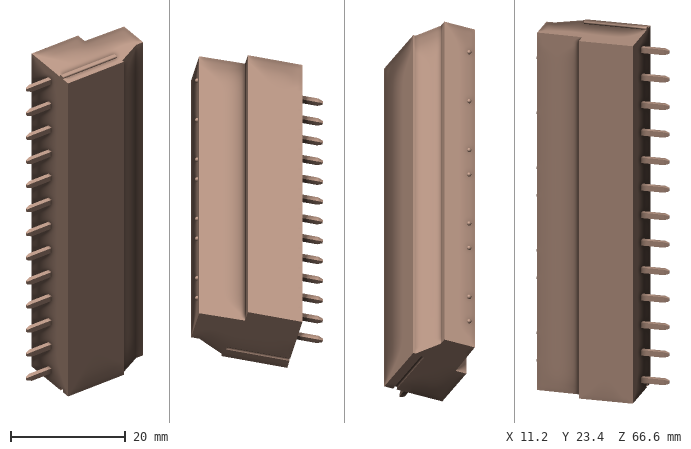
import cadquery as cq

pin_count = 13
body_height = 66.1
pitch = body_height / pin_count
body_width = 11.2
body_depth = 17.95

step_y = 9.8
step_x = 2.05
back_left_x = 2.25

shoulder_y = 11.8
shoulder_x = 10.7
slope_end_y = 16.5
back_right_x = 8.1

pin_x = 5.65
pin_width = 0.85
pin_height = 1.0
pin_length = 5.0
tip_length = 0.85
tip_width = 0.4
tip_height = 0.5

rail_x = 9.2
rail_height = 0.45
rail_length = 11.4
rail_width = 1.0
rail_flat_width = 0.6
groove_depth = 0.6

nub_x = 3.4
nub_radius = 0.4
nub_height = 0.45
nub_pins = (1, 2, 4, 5, 7, 8, 10, 12)


def make_housing():
    profile = [
        (0, 0),
        (body_width, 0),
        (body_width, shoulder_y),
        (shoulder_x, shoulder_y),
        (back_right_x, slope_end_y),
        (back_right_x, body_depth),
        (back_left_x, body_depth),
        (step_x, step_y),
        (0, step_y),
    ]
    return cq.Workplane("XY").polyline(profile).close().extrude(body_height)


def make_bar(base_z, height):
    """Bar along Y with flat top and bottom and bulging sides, starting from the pin face."""
    flat = rail_flat_width / 2
    bulge = rail_width / 2
    middle_z = base_z + height / 2
    top_z = base_z + height
    return (
        cq.Workplane("XZ")
        .moveTo(rail_x - flat, base_z)
        .lineTo(rail_x + flat, base_z)
        .threePointArc((rail_x + bulge, middle_z), (rail_x + flat, top_z))
        .lineTo(rail_x - flat, top_z)
        .threePointArc((rail_x - bulge, middle_z), (rail_x - flat, base_z))
        .close()
        .extrude(-rail_length)
    )


def make_pin(z):
    shank_length = pin_length - tip_length
    shank = (
        cq.Workplane("XZ")
        .center(pin_x, z)
        .rect(pin_width, pin_height)
        .extrude(shank_length)
    )
    tip = (
        cq.Workplane("XZ", origin=(pin_x, -shank_length, z))
        .rect(pin_width, pin_height)
        .workplane(offset=tip_length)
        .rect(tip_width, tip_height)
        .loft(ruled=True)
    )
    return shank.union(tip)


def make_nub(z):
    centre_y = body_depth + nub_height - nub_radius
    return cq.Workplane("XY").sphere(nub_radius).translate((nub_x, centre_y, z))


result = make_housing()
result = result.union(make_bar(body_height, rail_height))
result = result.cut(make_bar(0, groove_depth))

for index in range(pin_count):
    result = result.union(make_pin((index + 0.5) * pitch))

for pin in nub_pins:
    result = result.union(make_nub(pin * pitch))